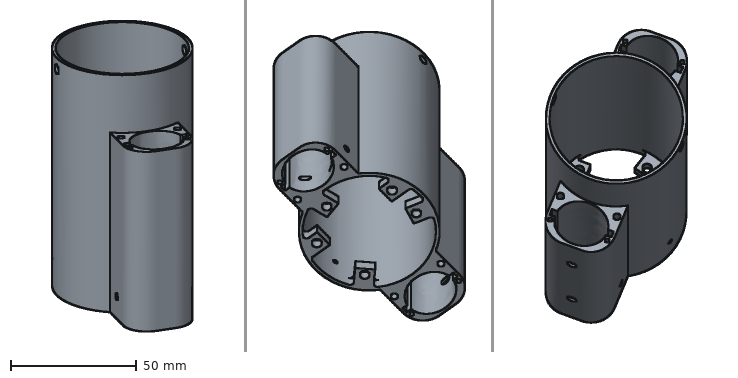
import cadquery as cq
import math

TUBE_OUTER_DIAMETER = 56.3
TUBE_WALL = 1.5
TUBE_INNER_DIAMETER = TUBE_OUTER_DIAMETER - 2 * TUBE_WALL
TUBE_OUTER_RADIUS = TUBE_OUTER_DIAMETER / 2
TUBE_INNER_RADIUS = TUBE_INNER_DIAMETER / 2
TUBE_HEIGHT = 103.0

TOP_HOLE_DIAMETER = 4.0
TOP_HOLE_BELOW_RIM = 5.0
PIN_HOLE_DIAMETER = 1.8
PIN_HOLE_X = -8.9
PIN_HOLE_Z = 13.2

OVERALL_LENGTH = 97.5
POD_WIDTH = 29.0
POD_HEIGHT = 78.0
POD_CORNER_RADIUS = 10.1
POD_END_X = OVERALL_LENGTH / 2

BORE_CENTER_X = 38.15
BORE_RADIUS_X = 9.3
BORE_RADIUS_Y = 11.0
SLOT_CENTER_X = 37.9
SLOT_WIDTH = 2.5
SLOT_LENGTH = 26.5

BOLT_HOLE_DIAMETER = 2.8
BOLT_HOLE_X = 30.15
BOLT_HOLE_Y = 12.15
SCREW_HOLE_DIAMETER = 1.8
SCREW_HOLE_X = 41.05
SCREW_HOLE_Y = 12.25

FRONT_HOLE_DIAMETER = 2.8
FRONT_HOLE_X = 31.4
FRONT_HOLE_Z = 9.6
SIDE_HOLE_DIAMETER = 4.0
SIDE_HOLE_HEIGHTS = (20.0, 58.0)

TAB_WIDTH = 8.0
TAB_THICKNESS = 5.0
TAB_FILLET_RADIUS = 1.5
RADIAL_TAB_ANGLES = (-15, 105, 225)
RADIAL_TAB_INNER_END = 17.8
RADIAL_TAB_HOLE_DISTANCE = 20.75
RADIAL_TAB_HOLE_DIAMETER = 3.8
SQUARE_TAB_X = 9.25
SQUARE_TAB_INNER_END = 16.15
SQUARE_TAB_HOLE_Y = 19.6
SQUARE_TAB_HOLE_DIAMETER = 4.0


def cylinder(diameter, height):
    return cq.Workplane("XY").circle(diameter / 2).extrude(height)


def hole_along_y(diameter, x, z, y_start, y_end):
    """Round cutter parallel to Y."""
    return (
        cq.Workplane("XZ", origin=(x, y_start, z))
        .circle(diameter / 2)
        .extrude(y_start - y_end)
    )


def tab(inner_end, offset, hole_distance, hole_diameter):
    """Drilled tab pointing from the tube wall along +X, its middle line at Y = offset."""
    length = TUBE_OUTER_RADIUS - inner_end
    plate = (
        cq.Workplane("XY")
        .center(inner_end + length / 2, offset)
        .rect(length, TAB_WIDTH)
        .extrude(TAB_THICKNESS)
    )
    wall = cylinder(TUBE_OUTER_DIAMETER, TAB_THICKNESS).cut(
        cylinder(TUBE_INNER_DIAMETER, TAB_THICKNESS)
    )
    root_edges = []
    for side in (-1, 1):
        y = offset + side * TAB_WIDTH / 2
        x = math.sqrt(TUBE_INNER_RADIUS**2 - y**2)
        root_edges.append(cq.selectors.NearestToPointSelector((x, y, TAB_THICKNESS / 2)))
    body = wall.union(plate.intersect(cylinder(TUBE_OUTER_DIAMETER, TAB_THICKNESS)))
    body = body.edges(root_edges[0] + root_edges[1]).fillet(TAB_FILLET_RADIUS)
    hole = (
        cq.Workplane("XY")
        .center(hole_distance, offset)
        .circle(hole_diameter / 2)
        .extrude(TAB_THICKNESS)
    )
    return body.cut(hole)


def make_tabs():
    tabs = cq.Workplane("XY")
    for angle in RADIAL_TAB_ANGLES:
        radial_tab = tab(
            RADIAL_TAB_INNER_END, 0, RADIAL_TAB_HOLE_DISTANCE, RADIAL_TAB_HOLE_DIAMETER
        )
        tabs = tabs.union(radial_tab.rotate((0, 0, 0), (0, 0, 1), angle))
    for side in (-1, 1):
        square_tab = tab(
            SQUARE_TAB_INNER_END,
            -side * SQUARE_TAB_X,
            SQUARE_TAB_HOLE_Y,
            SQUARE_TAB_HOLE_DIAMETER,
        )
        tabs = tabs.union(square_tab.rotate((0, 0, 0), (0, 0, 1), side * 90))
    return tabs


def make_pods():
    """Both pods as one rounded bar across the tube, with their vertical openings."""
    bar = (
        cq.Workplane("XY")
        .rect(OVERALL_LENGTH, POD_WIDTH)
        .extrude(POD_HEIGHT)
        .edges("|Z")
        .fillet(POD_CORNER_RADIUS)
    )
    for side in (-1, 1):
        bore = (
            cq.Workplane("XY")
            .center(side * BORE_CENTER_X, 0)
            .ellipse(BORE_RADIUS_X, BORE_RADIUS_Y)
            .extrude(POD_HEIGHT)
        )
        slot = (
            cq.Workplane("XY")
            .center(side * SLOT_CENTER_X, 0)
            .rect(SLOT_WIDTH, SLOT_LENGTH)
            .extrude(POD_HEIGHT)
        )
        bar = bar.cut(bore).cut(slot)
    corner_holes = (
        (BOLT_HOLE_X, BOLT_HOLE_Y, BOLT_HOLE_DIAMETER),
        (SCREW_HOLE_X, SCREW_HOLE_Y, SCREW_HOLE_DIAMETER),
    )
    for x, y, diameter in corner_holes:
        holes = (
            cq.Workplane("XY")
            .rect(2 * x, 2 * y, forConstruction=True)
            .vertices()
            .circle(diameter / 2)
            .extrude(POD_HEIGHT)
        )
        bar = bar.cut(holes)
    return bar


def drill_pods(body):
    """Holes across the pods: front wall and end of the left pod, both walls of the right pod."""
    left = hole_along_y(FRONT_HOLE_DIAMETER, -FRONT_HOLE_X, FRONT_HOLE_Z, 0, -POD_WIDTH)
    right = hole_along_y(FRONT_HOLE_DIAMETER, FRONT_HOLE_X, FRONT_HOLE_Z, POD_WIDTH, -POD_WIDTH)
    body = body.cut(left).cut(right)
    for z in SIDE_HOLE_HEIGHTS:
        side_hole = (
            cq.Workplane("YZ", origin=(-POD_END_X, 0, z))
            .circle(SIDE_HOLE_DIAMETER / 2)
            .extrude(POD_END_X - BORE_CENTER_X)
        )
        body = body.cut(side_hole)
    return body


def drill_tube(body):
    """Cross hole below the rim through both walls, and a pin hole through the front wall."""
    top_hole = hole_along_y(
        TOP_HOLE_DIAMETER,
        0,
        TUBE_HEIGHT - TOP_HOLE_BELOW_RIM,
        TUBE_OUTER_DIAMETER,
        -TUBE_OUTER_DIAMETER,
    )
    pin_hole = hole_along_y(PIN_HOLE_DIAMETER, PIN_HOLE_X, PIN_HOLE_Z, 0, -TUBE_OUTER_DIAMETER)
    return body.cut(top_hole).cut(pin_hole)


result = make_pods().union(cylinder(TUBE_OUTER_DIAMETER, TUBE_HEIGHT))
result = result.cut(cylinder(TUBE_INNER_DIAMETER, TUBE_HEIGHT))
result = result.union(make_tabs())
result = drill_pods(result)
result = drill_tube(result)